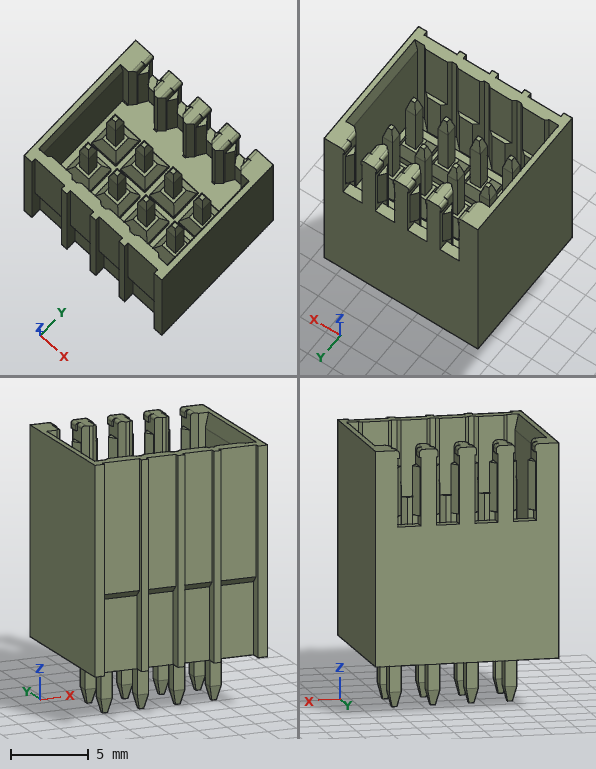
import cadquery as cq


WIDTH = 12.12
DEPTH = 10.5
TOP = 17.7
BASE = 3.54

PITCH = 2.55
COLUMNS = 4
PIN_XS = [(i - (COLUMNS - 1) / 2) * PITCH for i in range(COLUMNS)]
FRONT_ROW_Y = 3.65
ROW_YS = [FRONT_ROW_Y, FRONT_ROW_Y + PITCH]
PIN_SIDE = 0.8
PIN_TIP_SIDE = 0.32
PIN_TAPER = 1.01
PIN_TOP = 15.58

FLOOR = 9.2
SIDE_WALL = 0.62
CAVITY_FRONT = 0.97
CAVITY_BACK = 8.64
BACK_FOOT_CHAMFER = 0.07
CAVITY_BACK_FOOT = CAVITY_BACK - BACK_FOOT_CHAMFER
CAVITY_HALF = WIDTH / 2 - SIDE_WALL
MOUTH_FLARE = 0.23
MOUTH_FLARE_DEPTH = 1.05

TROUGH_FRONT = 1.49
TROUGH_BACK = 2.0
TROUGH_RAMP = 0.34
RAMP_STEEPNESS = 1.9
TROUGH_DEPTH = TROUGH_RAMP * RAMP_STEEPNESS
TROUGH_Z = FLOOR - TROUGH_DEPTH
WALL_FOOT_RISE = TROUGH_FRONT - CAVITY_FRONT

COLLAR_WIDTH = 2.12
COLLAR_TOP_SIDE = 1.2
COLLAR_TOP = TROUGH_Z + RAMP_STEEPNESS * (FRONT_ROW_Y - COLLAR_TOP_SIDE / 2 - TROUGH_BACK)
COLLAR_FRONT_REACH = 1.1
COLLAR_BACK_REACH = 1.24
COLLAR_GAP = 0.45

PAD_ROOT_HALF = 1.1
PAD_CREST_HALF = 0.51
PAD_CREST_Y = 1.45
PAD_LEDGE_Y = 1.17
PAD_LEDGE_Z = 12.67

GROOVE_DEPTH = 0.32
GROOVE_LOWER_DEPTH = 0.76
GROOVE_STEP_Z = 8.89
RIB_WIDTH = 0.5
END_RIB_WIDTH = 0.67

SLOT_HALF = 0.76
SLOT_LIP_HALF = 0.65
SLOT_ENTRY_HALF = 1.15
SLOT_ENTRY_DEPTH = 0.39
SLOT_LIP_HEIGHT = 0.53
SLOT_STEP_Y = 9.72
SLOT_EDGE_RADIUS = 0.23
WEB_TOP = 12.67
WEDGE_TOP = 16.5
WEDGE_OUTER_BASE = 13.28
WEDGE_APEX_HALF = 0.39
WEDGE_FRONT_Y = 9.13
WEDGE_BACK_Y = 10.23


def block(x0, x1, y0, y1, z0, z1):
    """Box given by its limits on each axis."""
    return cq.Workplane("XY").box(x1 - x0, y1 - y0, z1 - z0, centered=False).translate((x0, y0, z0))


def upright(points, z0, z1):
    """Vertical prism on an XY outline."""
    return cq.Workplane("XY").workplane(offset=z0).polyline(points).close().extrude(z1 - z0)


def crosswise(points, x0, x1):
    """Prism along X on a YZ outline."""
    return cq.Workplane("YZ").workplane(offset=x0).polyline(points).close().extrude(x1 - x0)


def frustum(x, y, z0, side0, z1, side1):
    """Upright square pyramid frustum."""
    return (
        cq.Workplane("XY").workplane(offset=z0).center(x, y).rect(side0, side0)
        .workplane(offset=z1 - z0).rect(side1, side1).loft()
    )


def cavity():
    """Space for the mating plug, with side walls flared at the mouth and a small bevel at the back."""
    outline = [
        (CAVITY_FRONT, TOP),
        (CAVITY_FRONT, TROUGH_Z + WALL_FOOT_RISE),
        (TROUGH_FRONT, TROUGH_Z),
        (TROUGH_BACK, TROUGH_Z),
        (TROUGH_BACK + TROUGH_RAMP, FLOOR),
        (CAVITY_BACK_FOOT, FLOOR),
        (CAVITY_BACK, FLOOR + BACK_FOOT_CHAMFER),
        (CAVITY_BACK, TOP),
    ]
    flare_z = TOP - MOUTH_FLARE_DEPTH
    mouth_half = CAVITY_HALF + MOUTH_FLARE
    mouth = (
        cq.Workplane("XZ").workplane(offset=-CAVITY_BACK)
        .polyline([(-mouth_half, TOP), (-CAVITY_HALF, flare_z), (CAVITY_HALF, flare_z), (mouth_half, TOP)])
        .close().extrude(CAVITY_BACK - CAVITY_FRONT)
    )
    return crosswise(outline, -CAVITY_HALF, CAVITY_HALF).union(mouth)


def front_grooves():
    """Grooves between the front ribs, deeper below a 45 degree step."""
    step = GROOVE_LOWER_DEPTH - GROOVE_DEPTH
    outline = [
        (0, TOP),
        (GROOVE_DEPTH, TOP),
        (GROOVE_DEPTH, GROOVE_STEP_Z),
        (GROOVE_LOWER_DEPTH, GROOVE_STEP_Z - step),
        (GROOVE_LOWER_DEPTH, BASE),
        (0, BASE),
    ]
    rib_xs = [(a + b) / 2 for a, b in zip(PIN_XS, PIN_XS[1:])]
    starts = [-WIDTH / 2 + END_RIB_WIDTH] + [x + RIB_WIDTH / 2 for x in rib_xs]
    ends = [x - RIB_WIDTH / 2 for x in rib_xs] + [WIDTH / 2 - END_RIB_WIDTH]
    grooves = cq.Workplane("XY")
    for start, end in zip(starts, ends):
        grooves = grooves.union(crosswise(outline, start, end))
    return grooves


def rounded_slot(x, half, y0, y1, bottom):
    """Slot cutter whose top flares out so that it rounds both top edges of the slot."""
    r = SLOT_EDGE_RADIUS
    profile = (
        cq.Workplane("XZ").workplane(offset=-y1)
        .moveTo(x - half, bottom).lineTo(x + half, bottom).lineTo(x + half, TOP - r)
        .radiusArc((x + half + r, TOP), r)
        .lineTo(x - half - r, TOP)
        .radiusArc((x - half, TOP - r), r)
        .close()
    )
    return profile.extrude(y1 - y0)


def slot(x):
    """Opening through the back wall, narrowed by a lip along the outer part of its top edges."""
    lip_bottom = TOP - SLOT_LIP_HEIGHT
    inner = rounded_slot(x, SLOT_HALF, CAVITY_BACK_FOOT, SLOT_STEP_Y, FLOOR)
    lips = rounded_slot(x, SLOT_LIP_HALF, SLOT_STEP_Y, DEPTH, lip_bottom)
    outer = block(x - SLOT_HALF, x + SLOT_HALF, SLOT_STEP_Y, DEPTH, FLOOR, lip_bottom)
    entry = upright(
        [
            (x - SLOT_ENTRY_HALF, CAVITY_BACK_FOOT),
            (x + SLOT_ENTRY_HALF, CAVITY_BACK_FOOT),
            (x + SLOT_ENTRY_HALF, CAVITY_BACK),
            (x + SLOT_HALF, CAVITY_BACK + SLOT_ENTRY_DEPTH),
            (x - SLOT_HALF, CAVITY_BACK + SLOT_ENTRY_DEPTH),
            (x - SLOT_ENTRY_HALF, CAVITY_BACK),
        ],
        FLOOR, TOP,
    )
    return inner.union(lips).union(outer).union(entry)


def slot_filling(x):
    """Low web closing the slot, with a guide wedge on each side of it."""
    filling = block(x - SLOT_HALF, x + SLOT_HALF, SLOT_STEP_Y, DEPTH, FLOOR, WEB_TOP)
    for side in (-1, 1):
        apex = (x + side * WEDGE_APEX_HALF, SLOT_STEP_Y)
        root = (x + side * SLOT_HALF, SLOT_STEP_Y)
        front = (x + side * SLOT_HALF, WEDGE_FRONT_Y)
        back = (x + side * SLOT_HALF, WEDGE_BACK_Y)
        filling = filling.union(upright([apex, root, front], FLOOR, WEDGE_TOP))
        filling = filling.union(upright([apex, root, back], WEDGE_OUTER_BASE, WEDGE_TOP))
    return filling


def pad(x):
    """Trapezoidal pad on the front wall, thinner above its ledge."""
    body = upright(
        [
            (x - PAD_ROOT_HALF, CAVITY_FRONT),
            (x + PAD_ROOT_HALF, CAVITY_FRONT),
            (x + PAD_CREST_HALF, PAD_CREST_Y),
            (x - PAD_CREST_HALF, PAD_CREST_Y),
        ],
        TROUGH_Z, TOP,
    )
    relief = block(x - PAD_ROOT_HALF, x + PAD_ROOT_HALF, PAD_LEDGE_Y, PAD_CREST_Y, PAD_LEDGE_Z, TOP)
    return body.cut(relief)


def collar(x, y, y0, y1):
    """Pyramid around a pin, trimmed to a block from y0 to y1."""
    height = COLLAR_TOP - TROUGH_Z
    base_side = COLLAR_TOP_SIDE + 2 * height / RAMP_STEEPNESS
    pyramid = frustum(x, y, TROUGH_Z, base_side, COLLAR_TOP, COLLAR_TOP_SIDE)
    half = COLLAR_WIDTH / 2
    return pyramid.intersect(block(x - half, x + half, y0, y1, TROUGH_Z, COLLAR_TOP))


def pin(x, y):
    """Square pin tapered at both ends."""
    low, high = PIN_TAPER, PIN_TOP - PIN_TAPER
    half = PIN_SIDE / 2
    shank = block(x - half, x + half, y - half, y + half, low, high)
    return (
        shank
        .union(frustum(x, y, 0, PIN_TIP_SIDE, low, PIN_SIDE))
        .union(frustum(x, y, high, PIN_SIDE, PIN_TOP, PIN_TIP_SIDE))
    )


result = block(-WIDTH / 2, WIDTH / 2, 0, DEPTH, BASE, TOP)
result = result.cut(cavity()).cut(front_grooves())

back_row_front = ROW_YS[1] - COLLAR_FRONT_REACH
collar_spans = [
    (TROUGH_BACK, back_row_front - COLLAR_GAP),
    (back_row_front, ROW_YS[1] + COLLAR_BACK_REACH),
]
for pin_x in PIN_XS:
    result = result.cut(slot(pin_x)).union(slot_filling(pin_x)).union(pad(pin_x))
    for row_y, (span_start, span_end) in zip(ROW_YS, collar_spans):
        result = result.union(collar(pin_x, row_y, span_start, span_end)).union(pin(pin_x, row_y))